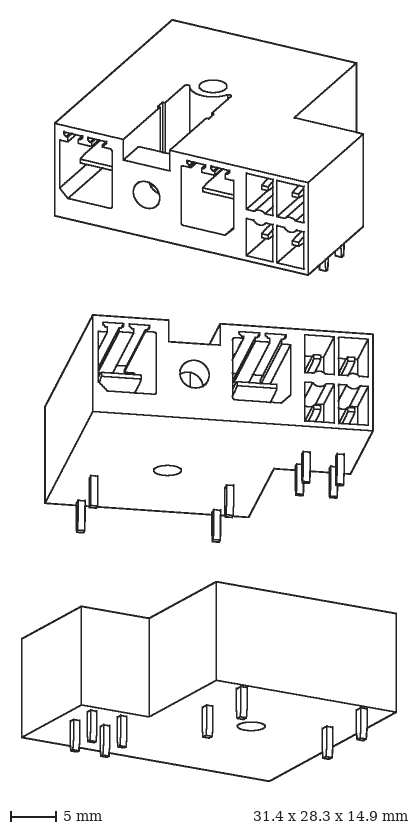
import cadquery as cq
import math


LENGTH = 31.45
DEPTH = 28.3
HEIGHT = 11.45
REAR_STEP_X = 22.85
REAR_STEP_Y = 13.35

MID_X = 11.42
SCREW_Y = 16.0
SCREW_HOLE_DIA = 3.05
SLOT_WIDTH = 5.75
SLOT_LEDGE_Y = 3.68
SLOT_LEDGE_Z = 8.9
SLOT_FLOOR_Z = 2.55
SLOT_END_RADIUS = 2.58
SLOT_TIP_WIDTH = 0.55
SLOT_TIP_RADIUS = 0.3
GROOVE_WIDTH = 6.35
GROOVE_Y = 9.45
GROOVE_LENGTH = 1.23
ACCESS_HOLE_DIA = 3.27
ACCESS_HOLE_Z = 5.25

POWER_SOCKET_DEPTH = 12.58
POWER_LEFT_X = 0.63
POWER_RIGHT_X = 7.15
POWER_BOTTOM_Z = 2.55
POWER_CHAMFER = 1.05
POWER_FILLET = 0.28
OUTER_SHOULDER_Z = 9.53
MIDDLE_SHOULDER_Z = 9.65
INNER_SHOULDER_Z = 9.9
KEY_CENTERS_X = (2.3, 5.25)
KEY_HEAD_WIDTH = 2.3
KEY_NECK_WIDTH = 1.32
KEY_HEAD_TOP_Z = 10.65
KEY_HEAD_BOTTOM_Z = 10.13
KEY_HEAD_CHAMFER = 0.28

SIGNAL_SOCKET_DEPTH = 6.3
SIGNAL_FIRST_X = 25.45
SIGNAL_PITCH_X = 3.8
SIGNAL_COLUMNS_X = (SIGNAL_FIRST_X, SIGNAL_FIRST_X + SIGNAL_PITCH_X)
SIGNAL_SOCKET_WIDTH = 3.3
UPPER_SOCKET_Z = (6.35, 10.82)
LOWER_SOCKET_Z = (0.63, 5.22)
RIB_Z = 5.72
RIB_RADIUS = 0.9

STOCK = 0.8
LEG_LENGTH = 3.45
BLADE_X = 3.8
BLADE_WIDTH = 4.47
BLADE_Z = 5.72
BLADE_TIP_Y = 3.15
BLADE_LEGS_Y = (19.62, 27.25)
BLADE_LEG_SIZE = 1.0
BLADE_TAPER = 1.05
BLADE_TIP_INSET = 0.15
PIN_TIP_Y = 1.25
PIN_TAPER = 1.15
PIN_TIP_INSET = 0.15
UPPER_PIN_Z = 8.8
UPPER_PIN_LEG_Y = 11.83
LOWER_PIN_Z = 2.83
LOWER_PIN_LEG_Y = 8.02


def box(x_range, y_range, z_range):
    """Box between two corners."""
    size = [end - start for start, end in (x_range, y_range, z_range)]
    corner = (x_range[0], y_range[0], z_range[0])
    return cq.Workplane("XY").box(*size, centered=False).translate(corner)


def front_plane(depth):
    """Workplane at that depth behind the mating face, extruding forward to the face."""
    return cq.Workplane("XZ", origin=(0, depth, 0))


def contact(x, z, width, tip_y, legs_y, leg_size, taper, tip_inset):
    """Flat bar along Y with bent-down legs; all free ends are tapered."""
    bar_end = max(legs_y) + leg_size / 2
    half = STOCK / 2
    half_tip = half - tip_inset
    bar_outline = [
        (bar_end, z - half),
        (bar_end, z + half),
        (tip_y + taper, z + half),
        (tip_y, z + half_tip),
        (tip_y, z - half_tip),
        (tip_y + taper, z - half),
    ]
    side_plane = cq.Workplane("YZ", origin=(x, 0, 0))
    body = side_plane.polyline(bar_outline).close().extrude(width / 2, both=True)
    for leg_y in legs_y:
        leg_half = leg_size / 2
        leg_tip = leg_half - tip_inset
        leg_outline = [
            (leg_y - leg_half, z),
            (leg_y + leg_half, z),
            (leg_y + leg_half, taper - LEG_LENGTH),
            (leg_y + leg_tip, -LEG_LENGTH),
            (leg_y - leg_tip, -LEG_LENGTH),
            (leg_y - leg_half, taper - LEG_LENGTH),
        ]
        leg = side_plane.polyline(leg_outline).close().extrude(half, both=True)
        body = body.union(leg)
    return body


def power_blade(x):
    return contact(x, BLADE_Z, BLADE_WIDTH, BLADE_TIP_Y, BLADE_LEGS_Y,
                   BLADE_LEG_SIZE, BLADE_TAPER, BLADE_TIP_INSET)


def signal_pin(x, z, leg_y):
    return contact(x, z, STOCK, PIN_TIP_Y, (leg_y,), STOCK, PIN_TAPER, PIN_TIP_INSET)


def housing_block():
    outline = [
        (0, 0),
        (LENGTH, 0),
        (LENGTH, REAR_STEP_Y),
        (REAR_STEP_X, REAR_STEP_Y),
        (REAR_STEP_X, DEPTH),
        (0, DEPTH),
    ]
    return cq.Workplane("XY").polyline(outline).close().extrude(HEIGHT)


def screw_slot():
    """Open slot in the top: shallow ledge, deep part with side grooves, end wall around the hole."""
    half = SLOT_WIDTH / 2
    arc_half = half - SLOT_TIP_WIDTH
    arc_y = SCREW_Y - math.sqrt(SLOT_END_RADIUS**2 - arc_half**2)
    crest_x = half - SLOT_TIP_RADIUS
    shoulder_y = arc_y - math.sqrt(SLOT_TIP_RADIUS**2 - (crest_x - arc_half)**2)
    crest_y = shoulder_y + SLOT_TIP_RADIUS
    deep = (
        cq.Workplane("XY", origin=(MID_X, 0, SLOT_FLOOR_Z))
        .moveTo(-half, SLOT_LEDGE_Y)
        .lineTo(half, SLOT_LEDGE_Y)
        .lineTo(half, shoulder_y)
        .threePointArc((crest_x, crest_y), (arc_half, arc_y))
        .threePointArc((0, SCREW_Y - SLOT_END_RADIUS), (-arc_half, arc_y))
        .threePointArc((-crest_x, crest_y), (-half, shoulder_y))
        .close()
        .extrude(HEIGHT - SLOT_FLOOR_Z)
    )
    ledge = box((MID_X - half, MID_X + half), (0, SLOT_LEDGE_Y), (SLOT_LEDGE_Z, HEIGHT))
    grooves = box(
        (MID_X - GROOVE_WIDTH / 2, MID_X + GROOVE_WIDTH / 2),
        (GROOVE_Y - GROOVE_LENGTH / 2, GROOVE_Y + GROOVE_LENGTH / 2),
        (SLOT_FLOOR_Z, HEIGHT),
    )
    return deep.union(ledge).union(grooves)


def screw_hole():
    return cq.Workplane("XY").center(MID_X, SCREW_Y).circle(SCREW_HOLE_DIA / 2).extrude(HEIGHT)


def access_hole():
    """Round hole from the mating face into the deep part of the slot."""
    plane = front_plane(SLOT_LEDGE_Y).center(MID_X, ACCESS_HOLE_Z)
    return plane.circle(ACCESS_HOLE_DIA / 2).extrude(SLOT_LEDGE_Y)


def key_slot(x):
    """T-shaped coding slot in the roof of a power socket."""
    head = KEY_HEAD_WIDTH / 2
    neck = KEY_NECK_WIDTH / 2
    foot = head - KEY_HEAD_CHAMFER
    chamfer_z = KEY_HEAD_BOTTOM_Z + KEY_HEAD_CHAMFER
    right_side = [
        (x + neck, OUTER_SHOULDER_Z),
        (x + neck, KEY_HEAD_BOTTOM_Z),
        (x + foot, KEY_HEAD_BOTTOM_Z),
        (x + head, chamfer_z),
        (x + head, KEY_HEAD_TOP_Z),
    ]
    left_side = [(2 * x - px, pz) for px, pz in reversed(right_side)]
    outline = front_plane(POWER_SOCKET_DEPTH).polyline(right_side + left_side).close()
    return outline.extrude(POWER_SOCKET_DEPTH)


def power_socket():
    """Left power socket with stepped roof, one large chamfer and two rounded inner corners."""
    outer_key_x, inner_key_x = KEY_CENTERS_X
    outline = [
        (POWER_LEFT_X + POWER_CHAMFER, POWER_BOTTOM_Z),
        (POWER_RIGHT_X, POWER_BOTTOM_Z),
        (POWER_RIGHT_X, INNER_SHOULDER_Z),
        (inner_key_x, INNER_SHOULDER_Z),
        (inner_key_x, MIDDLE_SHOULDER_Z),
        (outer_key_x, MIDDLE_SHOULDER_Z),
        (outer_key_x, OUTER_SHOULDER_Z),
        (POWER_LEFT_X, OUTER_SHOULDER_Z),
        (POWER_LEFT_X, POWER_BOTTOM_Z + POWER_CHAMFER),
    ]
    socket = front_plane(POWER_SOCKET_DEPTH).polyline(outline).close().extrude(POWER_SOCKET_DEPTH)
    socket = socket.edges("|Y and >X").fillet(POWER_FILLET)
    for key_x in KEY_CENTERS_X:
        socket = socket.union(key_slot(key_x))
    return socket


def signal_sockets(x):
    """Upper and lower signal socket of one column, with the round rib between them."""
    x_range = (x - SIGNAL_SOCKET_WIDTH / 2, x + SIGNAL_SOCKET_WIDTH / 2)
    y_range = (0, SIGNAL_SOCKET_DEPTH)
    sockets = box(x_range, y_range, UPPER_SOCKET_Z).union(box(x_range, y_range, LOWER_SOCKET_Z))
    rib = front_plane(SIGNAL_SOCKET_DEPTH).center(x, RIB_Z).circle(RIB_RADIUS).extrude(SIGNAL_SOCKET_DEPTH)
    return sockets.cut(rib)


power_blades = [power_blade(x) for x in (BLADE_X, 2 * MID_X - BLADE_X)]

signal_pins = []
for column_x in SIGNAL_COLUMNS_X:
    signal_pins.append(signal_pin(column_x, UPPER_PIN_Z, UPPER_PIN_LEG_Y))
    signal_pins.append(signal_pin(column_x, LOWER_PIN_Z, LOWER_PIN_LEG_Y))

housing = housing_block().cut(screw_slot()).cut(screw_hole()).cut(access_hole())
left_socket = power_socket()
right_socket = left_socket.mirror("YZ", (MID_X, 0, 0))
housing = housing.cut(left_socket).cut(right_socket)
for column_x in SIGNAL_COLUMNS_X:
    housing = housing.cut(signal_sockets(column_x))

contacts = power_blades + signal_pins
for body in contacts:
    housing = housing.cut(body)

result = cq.Compound.makeCompound([housing.val(), *[body.val() for body in contacts]])